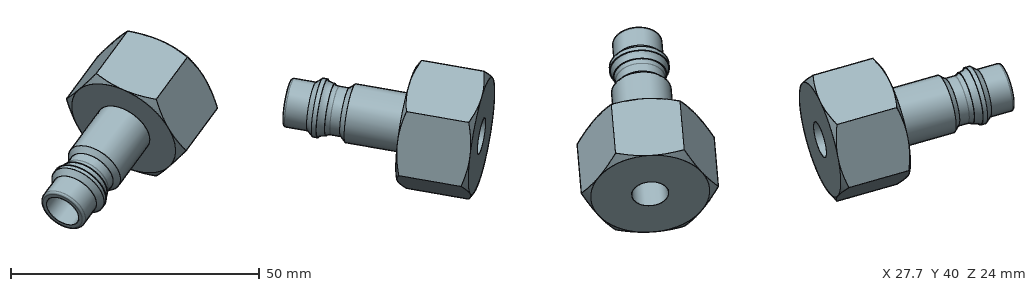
import cadquery as cq
import math

total_length = 40.0
hex_across_flats = 24.0
hex_length = 15.0
hex_chamfer_angle = 30.0

body_radius = 6.05
neck_radius = 5.0
bore_radius = 3.7
tip_rounding = 0.5

collar_cone_start = 5.0
collar_front = 6.25
collar_back = 7.2
flare_step = 8.8
step_inner_radius = 5.25
step_outer_radius = 5.4
flare_top_radius = 5.9
flare_end = 9.8
flare_dip_ratio = 0.25
shoulder_end = 13.0
shoulder_start = 11.85

hex_across_corners = hex_across_flats / math.cos(math.radians(30))
hex_front = total_length - hex_length


def chamfered_hex():
    """Hexagon with both end faces turned down to the flats' inscribed circle."""
    flat_radius = hex_across_flats / 2
    corner_radius = hex_across_corners / 2
    chamfer_length = (corner_radius - flat_radius) * math.tan(math.radians(hex_chamfer_angle))
    prism = (
        cq.Workplane("XZ", origin=(0, hex_front, 0))
        .polygon(6, hex_across_corners)
        .extrude(-hex_length)
    )
    turned_envelope = (
        cq.Workplane("XY")
        .moveTo(0, hex_front)
        .lineTo(flat_radius, hex_front)
        .lineTo(corner_radius, hex_front + chamfer_length)
        .lineTo(corner_radius, total_length - chamfer_length)
        .lineTo(flat_radius, total_length)
        .lineTo(0, total_length)
        .close()
        .revolve(360, (0, 0, 0), (0, 1, 0))
    )
    return prism.intersect(turned_envelope)


def flare_midpoint(start, end):
    """Middle of a shallow concave arc between two (radius, position) points."""
    start_radius, start_position = start
    end_radius, end_position = end
    dip = flare_dip_ratio * (start_radius - end_radius)
    return ((start_radius + end_radius) / 2 - dip, (start_position + end_position) / 2)


def plug():
    """Turned plug: rounded tip, locking collar, stepped concave flare, neck and body."""
    rounding_mid = tip_rounding * math.sin(math.radians(45))
    flare_top = (flare_top_radius, collar_back)
    step_outer = (step_outer_radius, flare_step)
    step_inner = (step_inner_radius, flare_step)
    neck_edge = (neck_radius, flare_end)
    return (
        cq.Workplane("XY")
        .lineTo(neck_radius - tip_rounding, 0)
        .threePointArc(
            (neck_radius - tip_rounding + rounding_mid, tip_rounding - rounding_mid),
            (neck_radius, tip_rounding),
        )
        .lineTo(neck_radius, collar_cone_start)
        .lineTo(body_radius, collar_front)
        .lineTo(body_radius, collar_back)
        .lineTo(*flare_top)
        .threePointArc(flare_midpoint(flare_top, step_outer), step_outer)
        .lineTo(*step_inner)
        .threePointArc(flare_midpoint(step_inner, neck_edge), neck_edge)
        .lineTo(neck_radius, shoulder_start)
        .lineTo(body_radius, shoulder_end)
        .lineTo(body_radius, hex_front)
        .lineTo(0, hex_front)
        .close()
        .revolve(360, (0, 0, 0), (0, 1, 0))
    )


bore = cq.Workplane("XZ").circle(bore_radius).extrude(-total_length)
result = plug().union(chamfered_hex()).cut(bore)